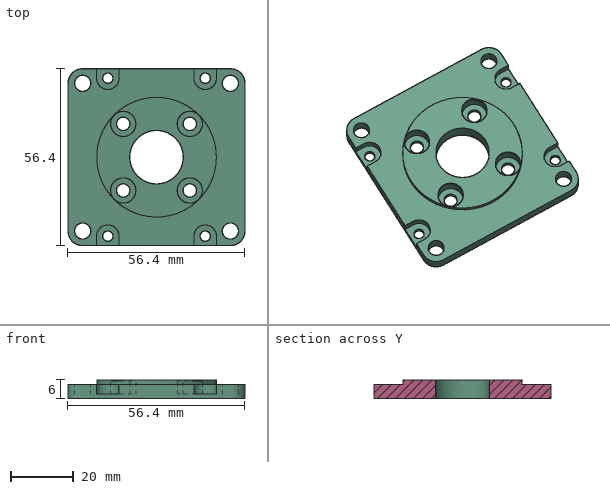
import cadquery as cq

plate_side = 56.4
plate_thickness = 4.5
corner_radius = 4.6

total_height = 6.0
boss_diameter = 38.1
bore_diameter = 17.0

boss_hole_offset = 10.6
boss_hole_diameter = 4.2
counterbore_diameter = 8.0
counterbore_floor = 1.5
mouth_diameter = 8.05
mouth_depth = 0.4

corner_hole_offset = 23.5
corner_hole_diameter = 5.1

pocket_offset_x = 15.5
pocket_offset_y = 25.15
pocket_width = 7.15
pocket_floor = 1.5
pocket_hole_diameter = 3.2


def four_corners(offset_x, offset_y):
    """Points mirrored about both centre lines."""
    return [(sx * offset_x, sy * offset_y) for sx in (-1, 1) for sy in (-1, 1)]


def cylinders(points, diameter, floor=0.0):
    """Vertical cylinders from the floor height up to the top of the part."""
    return (
        cq.Workplane("XY")
        .workplane(offset=floor)
        .pushPoints(points)
        .circle(diameter / 2)
        .extrude(total_height - floor)
    )


def edge_pocket(x, y):
    """U-shaped cutter, round at its inner end and running out past the plate edge."""
    run_out = pocket_width
    direction = 1 if y > 0 else -1
    slot = (
        cq.Workplane("XY")
        .workplane(offset=pocket_floor)
        .center(x, y + direction * run_out / 2)
        .rect(pocket_width, run_out)
        .extrude(total_height - pocket_floor)
    )
    return slot.union(cylinders([(x, y)], pocket_width, pocket_floor))


boss_holes = four_corners(boss_hole_offset, boss_hole_offset)
corner_holes = four_corners(corner_hole_offset, corner_hole_offset)
pockets = four_corners(pocket_offset_x, pocket_offset_y)

plate = (
    cq.Workplane("XY")
    .rect(plate_side, plate_side)
    .extrude(plate_thickness)
    .edges("|Z")
    .fillet(corner_radius)
)
result = plate.union(cylinders([(0, 0)], boss_diameter))

result = result.cut(cylinders([(0, 0)], bore_diameter))
result = result.cut(cylinders(boss_holes, boss_hole_diameter))
result = result.cut(cylinders(boss_holes, counterbore_diameter, counterbore_floor))
result = result.cut(cylinders(boss_holes, mouth_diameter, total_height - mouth_depth))

result = result.cut(cylinders(corner_holes, corner_hole_diameter))

for pocket_x, pocket_y in pockets:
    result = result.cut(edge_pocket(pocket_x, pocket_y))
result = result.cut(cylinders(pockets, pocket_hole_diameter))